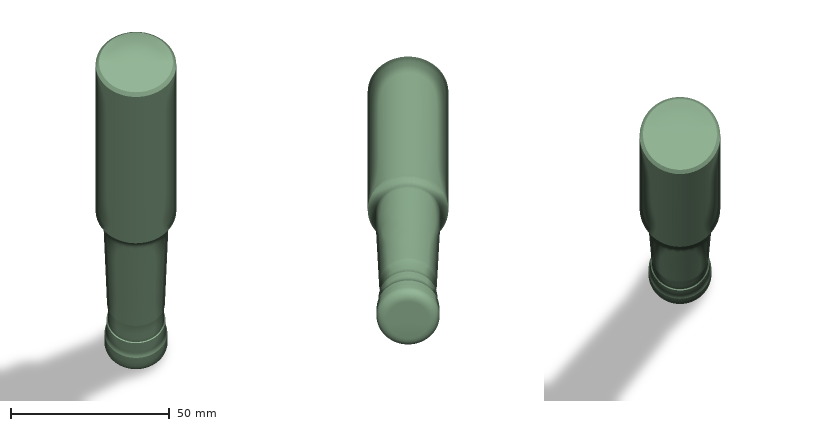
import cadquery as cq
import math

total_length = 152.4
shank_diameter = 25.5
shank_radius = shank_diameter / 2
shank_bottom_z = 73.2
shank_chamfer = 1.0

neck_top_radius = 10.4
neck_top_z = 69.5
neck_bottom_radius = 9.1
neck_bottom_z = 24.1

collar_radius = 8.8
collar_top_z = 20.0

head_top_z = 15.1
head_back_radius = 9.3
head_back_bottom_z = 10.0
cutter_diameter = 20.0
cutter_radius = cutter_diameter / 2
cutter_top_z = 8.1
cutter_relief = 0.08
cutter_relief_z = 5.0
corner_radius = 3.2


def blend_middle(tangent_radius, tangent_z, outer_radius, outer_z):
    """Middle point of a concave arc that leaves a cylinder tangentially and flares outward."""
    rise = outer_radius - tangent_radius
    run = outer_z - tangent_z
    arc_radius = (rise**2 + run**2) / (2 * rise)
    half_angle = math.atan2(rise, abs(run))
    middle_radius = tangent_radius + arc_radius * (1 - math.cos(half_angle))
    middle_z = tangent_z + math.copysign(arc_radius * math.sin(half_angle), run)
    return (middle_radius, middle_z)


def revolve_about_axis(profile):
    """Turn a closed (radius, Z) profile into a solid of revolution about Z."""
    return profile.close().revolve(360, (0, 0, 0), (0, 1, 0))


def make_holder():
    """Chamfered shank, flared shoulder, tapered neck and collar."""
    shoulder_middle = blend_middle(neck_top_radius, neck_top_z, shank_radius, shank_bottom_z)
    collar_middle = blend_middle(collar_radius, collar_top_z, neck_bottom_radius, neck_bottom_z)
    profile = (
        cq.Workplane("XZ")
        .moveTo(0, head_top_z)
        .lineTo(collar_radius, head_top_z)
        .lineTo(collar_radius, collar_top_z)
        .threePointArc(collar_middle, (neck_bottom_radius, neck_bottom_z))
        .lineTo(neck_top_radius, neck_top_z)
        .threePointArc(shoulder_middle, (shank_radius, shank_bottom_z))
        .lineTo(shank_radius, total_length - shank_chamfer)
        .lineTo(shank_radius - shank_chamfer, total_length)
        .lineTo(0, total_length)
    )
    return revolve_about_axis(profile)


def make_cutting_head():
    """Head with a cylindrical back, a flared cutter and a rounded tip corner."""
    cutter_top_radius = cutter_radius - cutter_relief
    flare_middle = blend_middle(
        head_back_radius, head_back_bottom_z, cutter_top_radius, cutter_top_z
    )
    corner_center_radius = cutter_radius - corner_radius
    corner_offset = corner_radius * math.sqrt(0.5)
    corner_middle = (corner_center_radius + corner_offset, corner_radius - corner_offset)
    profile = (
        cq.Workplane("XZ")
        .lineTo(corner_center_radius, 0)
        .threePointArc(corner_middle, (cutter_radius, corner_radius))
        .lineTo(cutter_radius, cutter_relief_z)
        .lineTo(cutter_top_radius, cutter_top_z)
        .threePointArc(flare_middle, (head_back_radius, head_back_bottom_z))
        .lineTo(head_back_radius, head_top_z)
        .lineTo(0, head_top_z)
    )
    return revolve_about_axis(profile)


holder = make_holder()
cutting_head = make_cutting_head()

result = cq.Compound.makeCompound([holder.val(), cutting_head.val()])